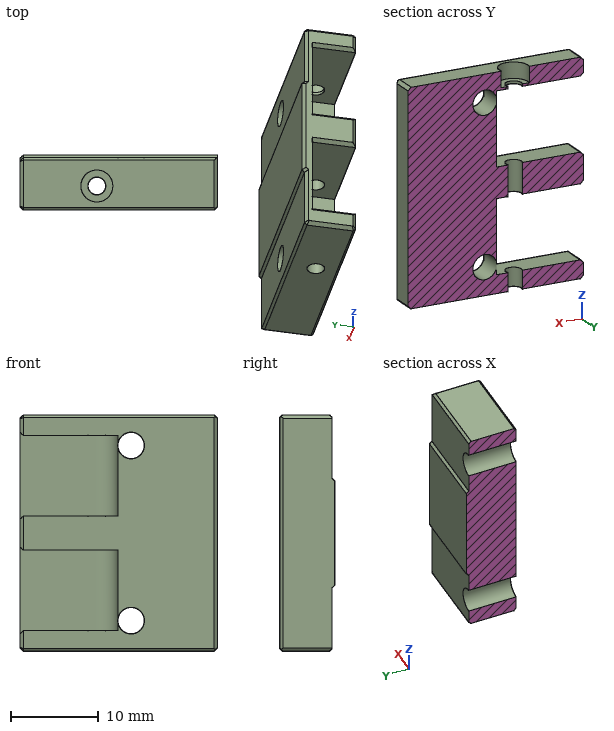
import cadquery as cq

length = 22.6
height = 27.0
plate_thickness = 6.0
long_edge_chamfer = 0.3
end_chamfer = 0.4

pad_rise = 0.3
pad_base_height = 12.5

rib_height = 3.9
pocket_height = 9.2
pocket_length = 11.2
pocket_depth = 5.16
corner_radius = 2.4

mount_diameter = 3.0
mount_spacing = 20.0
mount_wall_gap = 0.01
mount_x = pocket_length + mount_wall_gap + mount_diameter / 2

pin_diameter = 2.0
pin_head_diameter = 3.65
pin_head_depth = 2.0
pin_x = pocket_length - corner_radius
pin_y = pocket_depth - corner_radius


def make_plate():
    """Extrude the end profile, with chamfered corners and back pad, along X."""
    half_height = height / 2
    shoulder = half_height - long_edge_chamfer
    pad_base = pad_base_height / 2
    pad_top = pad_base - pad_rise
    back = plate_thickness
    upper_half = [
        (0, shoulder),
        (long_edge_chamfer, half_height),
        (back - long_edge_chamfer, half_height),
        (back, shoulder),
        (back, pad_base),
        (back + pad_rise, pad_top),
    ]
    lower_half = [(y, -z) for y, z in reversed(upper_half)]
    return cq.Workplane("YZ").polyline(upper_half + lower_half).close().extrude(length)


def make_pocket(center_z):
    """Pocket volume with one rounded inner corner."""
    return (
        cq.Workplane("XY")
        .workplane(offset=center_z - pocket_height / 2)
        .lineTo(pocket_length, 0)
        .lineTo(pocket_length, pin_y)
        .radiusArc((pin_x, pocket_depth), -corner_radius)
        .lineTo(0, pocket_depth)
        .close()
        .extrude(pocket_height)
    )


def chamfer_far_end(body):
    """Trim the far end to a box chamfered along its front, top and bottom end edges."""
    envelope = (
        cq.Workplane("XY")
        .box(length, plate_thickness + pad_rise, height, centered=(False, False, True))
        .faces(">X")
        .edges("<Y or >Z or <Z")
        .chamfer(end_chamfer)
    )
    return body.intersect(envelope)


def chamfer_open_end(body):
    """Chamfer the open end face all round, except along the pocket floors."""
    floor_zone = cq.selectors.BoxSelector(
        (-end_chamfer, pocket_depth - end_chamfer, -height),
        (end_chamfer, pocket_depth + end_chamfer, height),
    )
    floor_edges = floor_zone & cq.selectors.ParallelDirSelector(cq.Vector(0, 0, 1))
    return body.faces("<X").edges(-floor_edges).chamfer(end_chamfer)


def cut_mounting_holes(body):
    for z in (-mount_spacing / 2, mount_spacing / 2):
        hole = (
            cq.Workplane("XZ", origin=(mount_x, 0, z))
            .circle(mount_diameter / 2)
            .extrude(-(plate_thickness + pad_rise))
        )
        body = body.cut(hole)
    return body


def cut_pin_hole(body):
    """Pin hole with a counterbore sunk into the top face."""
    top = cq.Workplane("XY", origin=(pin_x, pin_y, height / 2))
    bore = top.circle(pin_diameter / 2).extrude(-height)
    head_seat = top.circle(pin_head_diameter / 2).extrude(-pin_head_depth)
    return body.cut(bore).cut(head_seat)


pocket_offset = (rib_height + pocket_height) / 2

plate = chamfer_far_end(make_plate())
for pocket_z in (-pocket_offset, pocket_offset):
    plate = plate.cut(make_pocket(pocket_z))
plate = chamfer_open_end(plate)
plate = cut_mounting_holes(plate)
result = cut_pin_hole(plate)